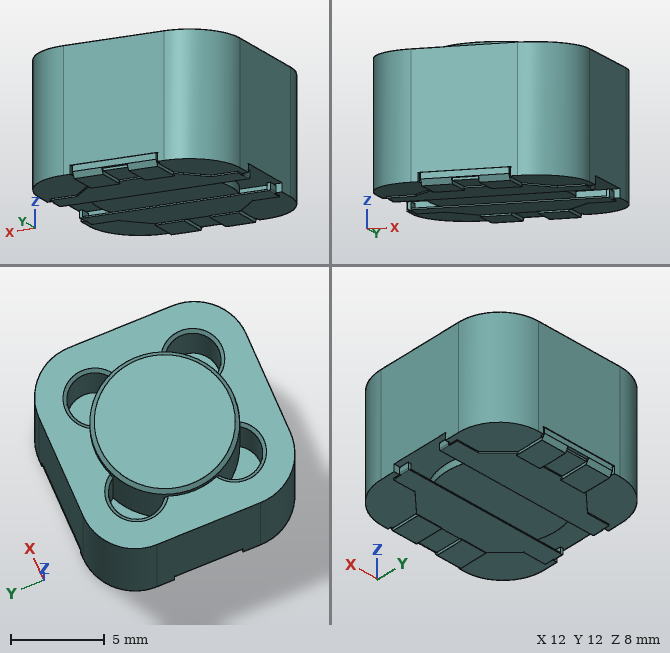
import cadquery as cq

SIDE = 12.01
HALF_SIDE = SIDE / 2
CORNER_RADIUS = 3.0
BLOCK_HEIGHT = 7.23
CORE_RADIUS = 4.0
CORE_RISE = 0.58
CORE_CHAMFER = 0.24

POCKET_RADIUS = 1.5
POCKET_CHAMFER = 0.2
POCKET_OFFSET = 2.83
POCKET_DEPTH = 3.6

SHEET = 0.19
PLATE_HALF_WIDTH = 2.5
PLATE_SETBACK = 0.04
PLATE_BOTTOM = 0.15
FOOT_WIDTH = 1.74
FOOT_INNER_Y = 3.92
FOOT_SLOPE = 0.65
BASE_THICKNESS = 0.08
BASE_HALF_LENGTH = 5.61
BASE_ARM_LENGTH = 1.6
BASE_INNER_Y = 1.2
BASE_ARM_Y = 2.46
TAB_WIDTH = 0.68
TAB_TOP = 0.37
TAB_OUTER_X = 5.7
TAB_ROUNDING = BASE_THICKNESS

NOTCH_HEIGHT = 0.5
PLATE_NOTCH_HALF_WIDTH = 2.61
TAB_NOTCH_HALF_WIDTH = 1.98

PLATE_OUTER_Y = HALF_SIDE - PLATE_SETBACK
PLATE_INNER_Y = PLATE_OUTER_Y - SHEET


def box(x_min, x_max, y_min, y_max, z_min, z_max):
    """Box between the given limits."""
    size = (x_max - x_min, y_max - y_min, z_max - z_min)
    return cq.Workplane("XY").box(*size, centered=False).translate((x_min, y_min, z_min))


def make_block():
    """Rounded square block with the notches that take the terminals."""
    block = cq.Workplane("XY").rect(SIDE, SIDE).extrude(BLOCK_HEIGHT)
    block = block.edges("|Z").fillet(CORNER_RADIUS)
    plate_notch = box(
        -PLATE_NOTCH_HALF_WIDTH, PLATE_NOTCH_HALF_WIDTH, -HALF_SIDE, -PLATE_INNER_Y, 0, NOTCH_HEIGHT
    )
    tab_notch = box(-HALF_SIDE, 0, -TAB_NOTCH_HALF_WIDTH, TAB_NOTCH_HALF_WIDTH, 0, NOTCH_HEIGHT)
    for notch in (plate_notch, tab_notch):
        for angle in (0, 180):
            block = block.cut(notch.rotate((0, 0, 0), (0, 0, 1), angle))
    return block


def make_pockets():
    """Four blind round pockets with chamfered rims."""
    centers = cq.Workplane("XY", origin=(0, 0, BLOCK_HEIGHT)).rect(
        2 * POCKET_OFFSET, 2 * POCKET_OFFSET, forConstruction=True
    )
    bores = centers.vertices().circle(POCKET_RADIUS).extrude(-POCKET_DEPTH)
    rim = cq.Solid.makeCone(POCKET_RADIUS, POCKET_RADIUS + POCKET_CHAMFER, POCKET_CHAMFER)
    rim = rim.moved(cq.Location((0, 0, -POCKET_CHAMFER)))
    rims = centers.vertices().eachpoint(lambda place: rim.moved(place))
    return bores.union(rims)


def make_core():
    """Round core with a chamfered top edge."""
    core = cq.Workplane("XY").circle(CORE_RADIUS).extrude(BLOCK_HEIGHT + CORE_RISE)
    return core.faces(">Z").edges().chamfer(CORE_CHAMFER)


def make_ferrite_body():
    """Block with pockets, and the core that closes their inner sides."""
    return make_block().cut(make_pockets()).union(make_core())


def make_base():
    """Flat base of the -Y terminal, under the block."""
    slant_start_x = BASE_HALF_LENGTH - BASE_ARM_LENGTH
    return (
        cq.Workplane("XY")
        .moveTo(-BASE_HALF_LENGTH, -BASE_INNER_Y)
        .lineTo(-BASE_HALF_LENGTH, -BASE_ARM_Y)
        .lineTo(-slant_start_x, -BASE_ARM_Y)
        .lineTo(-PLATE_HALF_WIDTH, -FOOT_INNER_Y)
        .lineTo(PLATE_HALF_WIDTH, -FOOT_INNER_Y)
        .lineTo(slant_start_x, -BASE_ARM_Y)
        .lineTo(BASE_HALF_LENGTH, -BASE_ARM_Y)
        .lineTo(BASE_HALF_LENGTH, -BASE_INNER_Y)
        .close()
        .extrude(-BASE_THICKNESS)
    )


def make_foot():
    """Left foot of the -Y terminal, sloping in from the upright plate to under the block."""
    outer_lean = FOOT_SLOPE * (PLATE_BOTTOM + SHEET)
    inner_lean = FOOT_SLOPE * SHEET
    return (
        cq.Workplane("YZ", origin=(-PLATE_HALF_WIDTH, 0, 0))
        .moveTo(-PLATE_INNER_Y, PLATE_BOTTOM)
        .lineTo(-PLATE_OUTER_Y, PLATE_BOTTOM)
        .lineTo(-PLATE_OUTER_Y + outer_lean, -SHEET)
        .lineTo(-FOOT_INNER_Y + inner_lean, -SHEET)
        .lineTo(-FOOT_INNER_Y, 0)
        .lineTo(-PLATE_INNER_Y, 0)
        .close()
        .extrude(FOOT_WIDTH)
    )


def make_tab():
    """Left upright tab of the -Y terminal, rounded along its lower outer edge."""
    tab = box(
        -TAB_OUTER_X,
        -TAB_OUTER_X + SHEET,
        -BASE_INNER_Y - TAB_WIDTH,
        -BASE_INNER_Y,
        -BASE_THICKNESS,
        TAB_TOP,
    )
    return tab.edges("<X and <Z").fillet(TAB_ROUNDING)


def make_terminal():
    """The -Y terminal: upright plate, two feet, base and two tabs, in one piece."""
    plate = box(
        -PLATE_HALF_WIDTH, PLATE_HALF_WIDTH, -PLATE_OUTER_Y, -PLATE_INNER_Y, PLATE_BOTTOM, NOTCH_HEIGHT
    )
    terminal = make_base().union(plate)
    for left_part in (make_foot(), make_tab()):
        terminal = terminal.union(left_part).union(left_part.mirror("YZ"))
    return terminal


ferrite_body = make_ferrite_body()
terminals = [make_terminal().rotate((0, 0, 0), (0, 0, 1), angle).solids().val() for angle in (0, 180)]

result = cq.Compound.makeCompound([ferrite_body.solids().val(), *terminals])